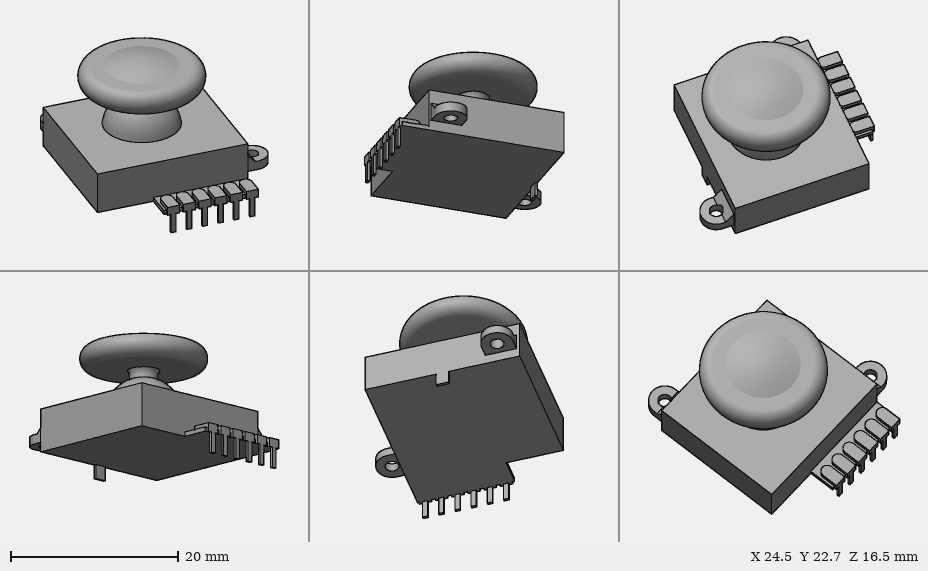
import cadquery as cq
import math

housing_x = 17.28
housing_y = 19.38
housing_height = 5.3
left_x = -7.85
right_x = left_x + housing_x
back_y = 9.85
front_y = back_y - housing_y

ear_radius = 1.95
ear_hole_diameter = 1.65
ear_bottom = 1.32
ear_thickness = 1.17
ear_ramp = 1.08
left_ear_reach = 3.45
left_ear_y = -7.17
back_ear_reach = 3.35
back_ear_x = 7.2

shelf_reach = 3.43
shelf_width = 12.19
sheet_thickness = 0.55
terminal_count = 6
terminal_pitch = 2.03
terminal_width = 1.55
terminal_length = 2.86
first_terminal_y = back_y - 0.93
pin_width = 0.64
pin_thickness = 0.32
pin_depth = 2.5
terminal_end_x = right_x + shelf_reach + pin_thickness

tab_width = 1.57
tab_depth = 1.71
tab_y = 0.17

ball_base_radius = 4.75
neck_radius = 1.7
neck_bottom = 9.08
neck_flare_start = 9.55
neck_flare_radius = 1.15
cap_radius = 7.65
cap_bottom = 10.28
cap_height = 2.99
crown_radius = 4.48
crown_height = 0.78


def block(x_min, x_max, y_center, width, z_min, z_max):
    """Box between two X and two Z limits, centred on a Y position."""
    return (
        cq.Workplane("XY")
        .box(x_max - x_min, width, z_max - z_min, centered=(False, True, False))
        .translate((x_min, y_center, z_min))
    )


def make_ear(reach):
    """Ear pointing along -X from a wall in the YZ plane, its bottom at z = 0."""
    center_x = ear_radius - reach
    ear = block(center_x, 0, 0, 2 * ear_radius, 0, ear_thickness)
    ear = ear.union(cq.Workplane("XY").center(center_x, 0).circle(ear_radius).extrude(ear_thickness))
    ramp = (
        cq.Workplane("XZ")
        .polyline([(-ear_ramp, ear_thickness), (0, ear_thickness), (0, ear_thickness + ear_ramp)])
        .close()
        .extrude(ear_radius, both=True)
    )
    hole = (
        cq.Workplane("XY")
        .center(center_x, 0)
        .circle(ear_hole_diameter / 2)
        .extrude(ear_thickness + ear_ramp)
    )
    return ear.union(ramp).cut(hole)


def make_terminal(y):
    """Round-ended pad folded over the shelf edge, with a narrow pin below."""
    pad_start = terminal_end_x - terminal_length
    round_radius = terminal_width / 2
    round_x = pad_start + round_radius
    pad = block(round_x, terminal_end_x, y, terminal_width, sheet_thickness, 2 * sheet_thickness)
    pad_round = (
        cq.Workplane("XY", origin=(round_x, y, sheet_thickness))
        .circle(round_radius)
        .extrude(sheet_thickness)
    )
    fold_x = terminal_end_x - pin_thickness
    fold = block(fold_x, terminal_end_x, y, terminal_width, 0, 2 * sheet_thickness)
    pin = block(fold_x, terminal_end_x, y, pin_width, -pin_depth, sheet_thickness)
    return pad.union(pad_round).union(fold).union(pin)


def make_stick():
    """Ball, flared neck and crowned thumb cap, revolved about the Z axis."""
    rise = neck_bottom - housing_height
    ball_center = (neck_bottom + housing_height) / 2 - (ball_base_radius**2 - neck_radius**2) / (2 * rise)
    ball_radius = math.hypot(ball_base_radius, housing_height - ball_center)
    middle_z = housing_height + rise / 2
    ball_middle = (math.sqrt(ball_radius**2 - (middle_z - ball_center) ** 2), middle_z)

    flare_angle = math.asin((cap_bottom - neck_flare_start) / neck_flare_radius)

    def flare_point(angle):
        return (
            neck_radius + neck_flare_radius * (1 - math.cos(angle)),
            neck_flare_start + neck_flare_radius * math.sin(angle),
        )

    cap_top = cap_bottom + cap_height
    rim_radius = cap_height / 2
    flat_radius = cap_radius - rim_radius
    crown_top = cap_top + crown_height
    crown_sphere = (crown_radius**2 + crown_height**2) / (2 * crown_height)
    crown_middle_x = crown_radius / 2
    crown_middle_z = crown_top - crown_sphere + math.sqrt(crown_sphere**2 - crown_middle_x**2)

    return (
        cq.Workplane("XZ")
        .moveTo(0, housing_height)
        .lineTo(ball_base_radius, housing_height)
        .threePointArc(ball_middle, (neck_radius, neck_bottom))
        .lineTo(neck_radius, neck_flare_start)
        .threePointArc(flare_point(flare_angle / 2), flare_point(flare_angle))
        .lineTo(flat_radius, cap_bottom)
        .threePointArc((cap_radius, cap_bottom + rim_radius), (flat_radius, cap_top))
        .lineTo(crown_radius, cap_top)
        .threePointArc((crown_middle_x, crown_middle_z), (0, crown_top))
        .close()
        .revolve(360, (0, 0), (0, 1))
    )


housing = block(left_x, right_x, (front_y + back_y) / 2, housing_y, 0, housing_height)
left_ear = make_ear(left_ear_reach).translate((left_x, left_ear_y, ear_bottom))
back_ear = (
    make_ear(back_ear_reach)
    .rotate((0, 0, 0), (0, 0, 1), -90)
    .translate((back_ear_x, back_y, ear_bottom))
)
shelf = block(right_x, right_x + shelf_reach, back_y - shelf_width / 2, shelf_width, 0, sheet_thickness)
tab = block(left_x, left_x + pin_thickness, tab_y, tab_width, -tab_depth, 0)

result = housing.union(left_ear).union(back_ear).union(shelf).union(tab).union(make_stick())
for index in range(terminal_count):
    result = result.union(make_terminal(first_terminal_y - index * terminal_pitch))